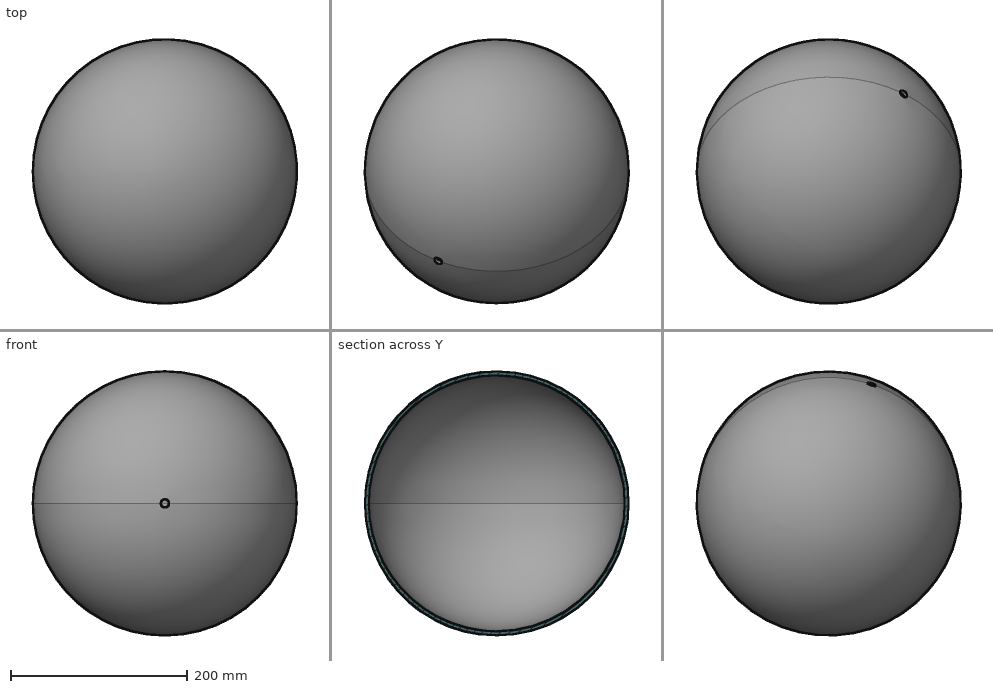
import cadquery as cq
import math

outer_diameter = 300.0
wall_thickness = 5.0
bore_diameter = 9.0
mouth_diameter = 9.5
mouth_depth = 1.0

outer_radius = outer_diameter / 2
inner_radius = outer_radius - wall_thickness
bore_radius = bore_diameter / 2
mouth_radius = mouth_diameter / 2

rim_distance = math.sqrt(outer_radius**2 - mouth_radius**2)


def upper_dome():
    """Hollow hemisphere above the XY plane, revolved about Z from a wall section at -X."""
    wall_section = (
        cq.Workplane("XZ")
        .moveTo(-inner_radius, 0)
        .lineTo(-outer_radius, 0)
        .radiusArc((0, outer_radius), outer_radius)
        .lineTo(0, inner_radius)
        .radiusArc((-inner_radius, 0), -inner_radius)
        .close()
    )
    return wall_section.revolve(360, (0, 0), (0, 1))


def radial_hole():
    """Cutter along -Y from the centre out past the wall: a bore with a slightly tapered mouth."""
    half_section = (
        cq.Workplane("XY")
        .lineTo(bore_radius, 0)
        .lineTo(bore_radius, -(rim_distance - mouth_depth))
        .lineTo(mouth_radius, -rim_distance)
        .lineTo(mouth_radius, -outer_diameter)
        .lineTo(0, -outer_diameter)
        .close()
    )
    cutter = half_section.revolve(360, (0, 0), (0, 1))
    return cutter.rotate((0, 0, 0), (0, 1, 0), 90)


drilled_dome = upper_dome().cut(radial_hole())
result = drilled_dome.union(drilled_dome.mirror("XY"), clean=False)